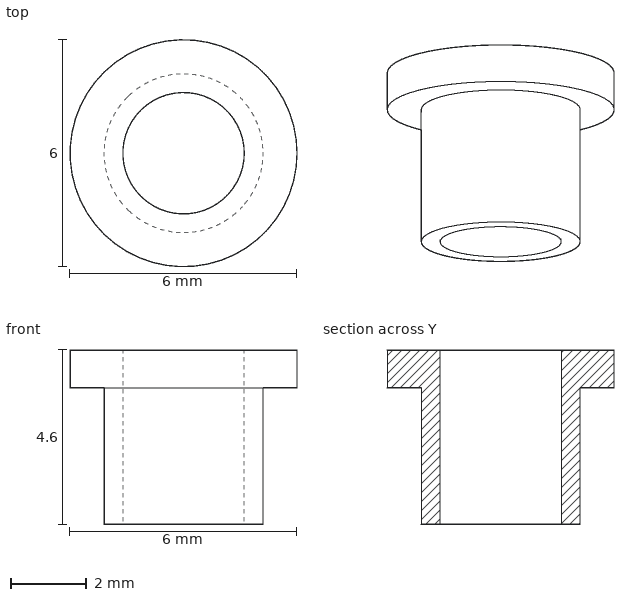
import cadquery as cq

flange_diameter = 6.0
sleeve_diameter = 4.2
bore_diameter = 3.2
total_height = 4.6
flange_thickness = 1.0
sleeve_length = total_height - flange_thickness


def cylinder(diameter, height, base_z=0.0):
    """Upright cylinder centred on the Z axis, starting at base_z."""
    return cq.Workplane("XY").workplane(offset=base_z).circle(diameter / 2).extrude(height)


sleeve = cylinder(sleeve_diameter, sleeve_length)
flange = cylinder(flange_diameter, flange_thickness, sleeve_length)
bore = cylinder(bore_diameter, total_height)

result = sleeve.union(flange).cut(bore)